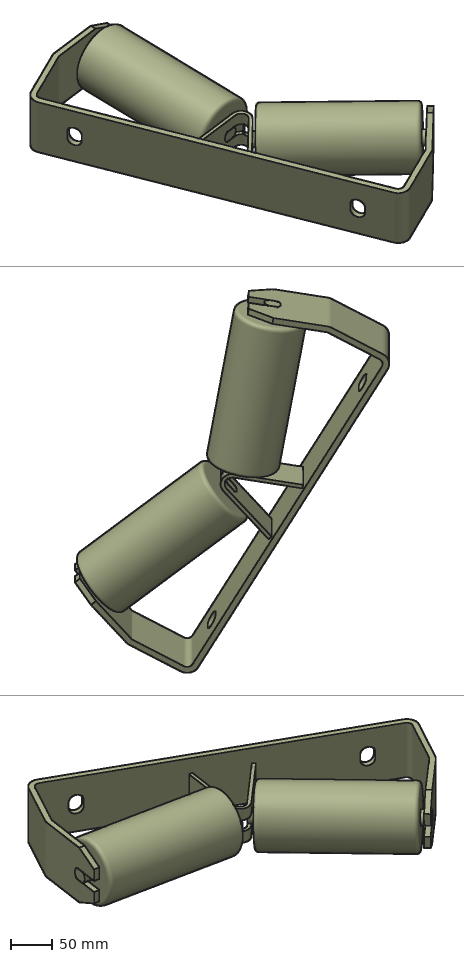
import cadquery as cq
import math

lean = 20.0
roller_tilt = 1.8
frame_height = 80.0

frame_width = 490.0
frame_thickness = 8.0
corner_outer_radius = 15.5
corner_inner_radius = corner_outer_radius - frame_thickness
bend_outer_radius = 12.0
bend_inner_radius = bend_outer_radius - frame_thickness
side_top_y = 87.0
arm_length = 96.7
arm_chamfer_length = 30.0
arm_chamfer_height = 15.0

mount_slot_spacing = 366.0
mount_slot_width = 19.0
mount_slot_length = 27.0

bracket_height = 50.0
bracket_thickness = 5.0
bracket_outer_radius = 14.0
bracket_inner_radius = bracket_outer_radius - bracket_thickness
bracket_foot_x = 37.3

roller_diameter = 89.0
roller_length = 200.0
roller_edge_radius = 5.0
axle_diameter = 20.0
axle_flat_width = 16.0
axle_y = 154.7
axle_z = 0.0
arm_gap = 5.5
shoulder_gap = 0.5

lean_sin = math.sin(math.radians(lean))
lean_cos = math.cos(math.radians(lean))
lean_tan = math.tan(math.radians(lean))

half_width = frame_width / 2
arm_start_x = -half_width + bend_outer_radius * (1 - lean_cos)
arm_start_y = side_top_y + bend_outer_radius * lean_sin
arm_end_x = arm_start_x + arm_length * lean_sin
arm_end_y = arm_start_y + arm_length * lean_cos

foot_drop = (bracket_foot_x - bracket_inner_radius * lean_cos) / lean_tan
apex_y = frame_thickness + foot_drop - bracket_inner_radius * lean_sin

axle_x = arm_start_x + (axle_y - arm_start_y) * lean_tan
leg_distance = -axle_x * lean_cos - (apex_y - axle_y) * lean_sin - bracket_inner_radius
axle_length = leg_distance / math.cos(math.radians(roller_tilt))
bracket_z = axle_z - axle_length * math.sin(math.radians(roller_tilt))


def place_left(shape):
    """Place a shape from axle coordinates (X along the axle, Y along the arm) at the left roller."""
    tilted = shape.rotate((0, 0, 0), (0, 1, 0), roller_tilt)
    return tilted.rotate((0, 0, 0), (0, 0, 1), -lean).translate((axle_x, axle_y, axle_z))


def place_right(shape):
    """Place a shape like place_left, then mirror it to the right roller."""
    return place_left(shape).mirror("YZ")


def axle_profile(start, length):
    """Round axle with two flats, facing up and down."""
    rod = cq.Workplane("YZ", origin=(start, 0, 0)).circle(axle_diameter / 2).extrude(length)
    flats = cq.Workplane("XY").box(4 * length, 2 * axle_diameter, axle_flat_width)
    return rod.intersect(flats.translate((start, 0, 0)))


def axle_slot(start, length, reach):
    """Cutter for a slot that holds the flatted axle and is open along +Y."""
    opening = cq.Workplane("XY").box(length, reach, axle_flat_width, centered=(False, False, True))
    return axle_profile(start, length).union(opening.translate((start, 0, 0)))


def make_frame():
    """Bent strip with chamfered, slotted arms and two upright mounting slots."""
    mid_lean = math.radians(lean / 2)
    mid_sin = math.sin(mid_lean)
    mid_cos = math.cos(mid_lean)
    corner_x = -half_width + corner_outer_radius
    bend_x = -half_width + bend_outer_radius
    inner_x = -half_width + frame_thickness
    corner_mid = math.sqrt(0.5)
    profile = (
        cq.Workplane("XY", origin=(0, 0, -frame_height / 2))
        .moveTo(0, 0)
        .lineTo(corner_x, 0)
        .threePointArc(
            (corner_x - corner_outer_radius * corner_mid, corner_outer_radius * (1 - corner_mid)),
            (-half_width, corner_outer_radius),
        )
        .lineTo(-half_width, side_top_y)
        .threePointArc(
            (bend_x - bend_outer_radius * mid_cos, side_top_y + bend_outer_radius * mid_sin),
            (arm_start_x, arm_start_y),
        )
        .lineTo(arm_end_x, arm_end_y)
        .lineTo(arm_end_x + frame_thickness * lean_cos, arm_end_y - frame_thickness * lean_sin)
        .lineTo(bend_x - bend_inner_radius * lean_cos, side_top_y + bend_inner_radius * lean_sin)
        .threePointArc(
            (bend_x - bend_inner_radius * mid_cos, side_top_y + bend_inner_radius * mid_sin),
            (inner_x, side_top_y),
        )
        .lineTo(inner_x, corner_outer_radius)
        .threePointArc(
            (
                corner_x - corner_inner_radius * corner_mid,
                corner_outer_radius - corner_inner_radius * corner_mid,
            ),
            (corner_x, frame_thickness),
        )
        .lineTo(0, frame_thickness)
        .close()
    )
    half = profile.extrude(frame_height)

    corner = (
        cq.Workplane("YZ")
        .moveTo(0, frame_height / 2)
        .lineTo(0, frame_height / 2 - arm_chamfer_height)
        .lineTo(-arm_chamfer_length, frame_height / 2)
        .close()
        .extrude(frame_thickness)
    )
    for cutter in (corner, corner.mirror("XY")):
        half = half.cut(cutter.rotate((0, 0, 0), (0, 0, 1), -lean).translate((arm_end_x, arm_end_y, 0)))

    half = half.cut(place_left(axle_slot(-frame_thickness, 3 * frame_thickness, arm_length)))
    frame = half.union(half.mirror("YZ"))

    mount_slots = (
        cq.Workplane("XZ")
        .pushPoints([(-mount_slot_spacing / 2, 0), (mount_slot_spacing / 2, 0)])
        .slot2D(mount_slot_length, mount_slot_width, 90)
        .extrude(-frame_thickness)
    )
    return frame.cut(mount_slots)


def make_bracket():
    """Bent strip standing on the frame, with both slots meeting at its apex."""
    foot_outer_x = bracket_foot_x + bracket_thickness * lean_cos
    foot_outer_y = frame_thickness + bracket_thickness * lean_sin
    outer_x = bracket_outer_radius * lean_cos
    outer_y = apex_y + bracket_outer_radius * lean_sin
    inner_x = bracket_inner_radius * lean_cos
    inner_y = apex_y + bracket_inner_radius * lean_sin
    bracket = (
        cq.Workplane("XY", origin=(0, 0, bracket_z - bracket_height / 2))
        .moveTo(-foot_outer_x, foot_outer_y)
        .lineTo(-outer_x, outer_y)
        .threePointArc((0, apex_y + bracket_outer_radius), (outer_x, outer_y))
        .lineTo(foot_outer_x, foot_outer_y)
        .lineTo(bracket_foot_x, frame_thickness)
        .lineTo(inner_x, inner_y)
        .threePointArc((0, apex_y + bracket_inner_radius), (-inner_x, inner_y))
        .lineTo(-bracket_foot_x, frame_thickness)
        .close()
        .extrude(bracket_height)
    )
    slot_start = axle_length - 2 * bracket_thickness
    slot = axle_slot(slot_start, 3 * bracket_thickness, 4 * bracket_outer_radius)
    return bracket.cut(place_left(slot)).cut(place_right(slot))


def make_roller():
    """Roller with its axle ends, along X in axle coordinates."""
    start = frame_thickness + arm_gap
    drum = (
        cq.Workplane("YZ", origin=(start, 0, 0))
        .circle(roller_diameter / 2)
        .extrude(roller_length)
        .edges()
        .fillet(roller_edge_radius)
    )
    shoulder_start = frame_thickness + shoulder_gap
    shoulder_end = axle_length - bracket_thickness - shoulder_gap
    shoulders = (
        cq.Workplane("YZ", origin=(shoulder_start, 0, 0))
        .circle(axle_diameter / 2)
        .extrude(shoulder_end - shoulder_start)
    )
    return drum.union(shoulders).union(axle_profile(0, axle_length))


frame = make_frame()
bracket = make_bracket()
rollers = []
for place in (place_left, place_right):
    rollers.append(place(make_roller()))

bodies = [frame, bracket, *rollers]
result = cq.Compound.makeCompound([body.solids().val() for body in bodies])